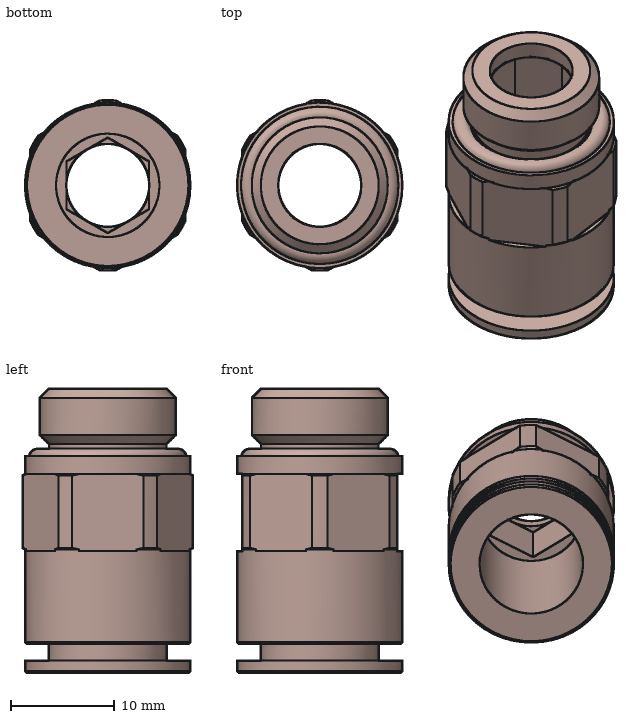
import cadquery as cq
import math


collar_diameter = 16.0
collar_neck_diameter = 11.45
collar_thickness = 1.2
collar_chamfer = 0.2

body_diameter = 16.0
body_bottom_z = 2.8
body_top_z = 21.0
body_bottom_chamfer = 0.2
hex_across_flats = 15.0
hex_corner_diameter = 16.5
hex_bottom_z = 11.8
hex_top_z = 19.25
hex_bottom_relief = 0.15
hex_chamfer_angle = 30.0

ring_inner_diameter = 11.75
ring_section_diameter = 1.75
ring_top_z = 21.7

stud_diameter = 13.16
stud_neck_diameter = 11.4
stud_top_z = 27.5
stud_height = 5.35

bore_diameter = 8.0
bore_depth = 1.75
tube_socket_diameter = 10.0
tube_socket_depth = 17.5


def cylinder(diameter, bottom_z, top_z):
    return cq.Workplane("XY").workplane(offset=bottom_z).circle(diameter / 2).extrude(top_z - bottom_z)


def hexagon(across_flats, bottom_z, top_z):
    """Hexagonal prism with two flats facing +X and -X."""
    sides = 6
    half_side_angle = 180 / sides
    across_corners = across_flats / math.cos(math.radians(half_side_angle))
    prism = cq.Workplane("XY").polygon(sides, across_corners).extrude(top_z - bottom_z)
    return prism.rotate((0, 0, 0), (0, 0, 1), half_side_angle).translate((0, 0, bottom_z))


def make_collar():
    disc = cylinder(collar_diameter, 0, collar_thickness).faces("<Z").edges().chamfer(collar_chamfer)
    neck = cylinder(collar_neck_diameter, 0, body_bottom_z)
    return disc.union(neck)


def make_hex_corners():
    """Rounded disc carrying the hexagon corners, beveled where it meets the round body."""
    corner_radius = hex_corner_diameter / 2
    body_radius = body_diameter / 2
    bevel_height = (corner_radius - body_radius) * math.tan(math.radians(hex_chamfer_angle))
    bottom_z = hex_bottom_z + hex_bottom_relief
    profile = [
        (0, bottom_z),
        (body_radius, bottom_z),
        (corner_radius, bottom_z + bevel_height),
        (corner_radius, hex_top_z - bevel_height),
        (body_radius, hex_top_z),
        (0, hex_top_z),
    ]
    return cq.Workplane("XZ").polyline(profile).close().revolve(360, (0, 0, 0), (0, 1, 0))


def make_body():
    lower = cylinder(body_diameter, body_bottom_z, hex_bottom_z)
    lower = lower.faces("<Z").edges().chamfer(body_bottom_chamfer)
    middle = cylinder(body_diameter, hex_bottom_z, hex_top_z).union(make_hex_corners())
    middle = middle.intersect(hexagon(hex_across_flats, hex_bottom_z, hex_top_z))
    shoulder = cylinder(body_diameter, hex_top_z, body_top_z)
    return lower.union(middle).union(shoulder)


def make_sealing_ring():
    section_radius = ring_section_diameter / 2
    section_center = (ring_inner_diameter / 2 + section_radius, ring_top_z - section_radius)
    section = cq.Workplane("XZ").center(*section_center).circle(section_radius)
    return section.revolve(360, (-section_center[0], 0, 0), (-section_center[0], 1, 0))


def make_stud():
    chamfer = (stud_diameter - stud_neck_diameter) / 2
    thread = cylinder(stud_diameter, stud_top_z - stud_height, stud_top_z)
    thread = thread.faces("<Z or >Z").edges().chamfer(chamfer)
    neck = cylinder(stud_neck_diameter, body_top_z, stud_top_z)
    return thread.union(neck)


def make_passage():
    hex_socket_top_z = stud_top_z - bore_depth
    bore = cylinder(bore_diameter, hex_socket_top_z, stud_top_z)
    hex_socket = hexagon(bore_diameter, tube_socket_depth, hex_socket_top_z)
    tube_socket = cylinder(tube_socket_diameter, 0, tube_socket_depth)
    return bore.union(hex_socket).union(tube_socket)


fitting = make_collar().union(make_body()).union(make_sealing_ring()).union(make_stud())
result = fitting.cut(make_passage())